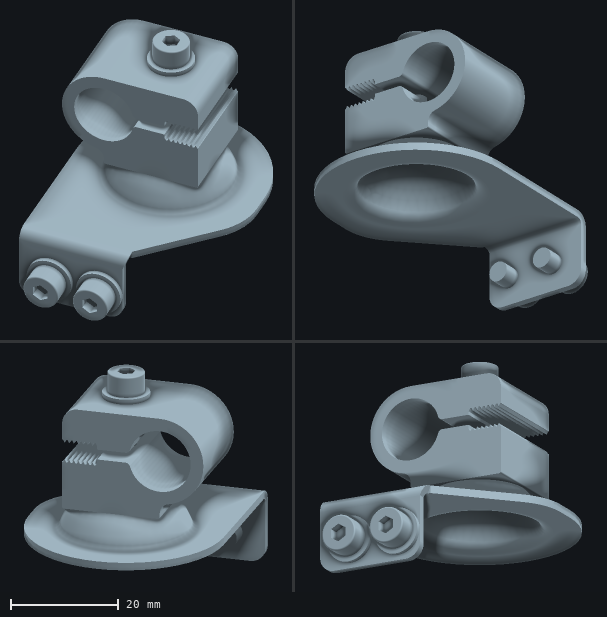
import cadquery as cq
import math


sheet = 1.5
plate_radius = 19.0
plate_corner_radius = 12.0
flange_face_y = -27.5
flange_width = 21.0
flange_drop = 14.5
flange_corner_radius = 3.0
bend_radius = 2.5
bend_flare = 0.9

flange_left = -plate_radius
flange_right = flange_left + flange_width
bend_start_y = flange_face_y + bend_radius
bend_start_right = flange_right + bend_flare

dome_radius = 13.1
dome_foot_radius = 13.7
dome_foot_fillet = 1.5

dome_to_fillet_centre = dome_radius + dome_foot_fillet
dome_centre_z = dome_foot_fillet - math.sqrt(dome_to_fillet_centre**2 - dome_foot_radius**2)

shank_radius = 2.0
head_radius = 3.5
head_height = 4.0
head_rounding = 0.3
hex_across_flats = 3.0
hex_depth = 2.0
washer_radius = 4.5
washer_thickness = 1.0
flange_screw_length = 6.0
clamp_screw_length = 16.0
flange_screw_spacing = 10.0
first_screw_inset = 6.5
first_screw_x = flange_left + first_screw_inset
flange_screw_z = -9.0
flange_screw_xs = [first_screw_x, first_screw_x + flange_screw_spacing]

clamp_width = 19.0
clamp_height = 20.0
clamp_bottom = 5.95
barrel_radius = 8.5
bore_radius = 6.0
neck_fillet = 2.0
clamp_top_fillet = 3.0
clamp_bottom_fillet = 0.3
slit_half_gap = 1.0
slit_mouth_fillet = 0.9

clamp_top = clamp_bottom + clamp_height
clamp_half = clamp_width / 2
bore_x = -clamp_half
bore_z = clamp_top - barrel_radius

jaw_length = 6.8
tooth_tip_half_gap = 1.65
tooth_root_half_gap = 2.2
tooth_root_flat = 0.3
full_grooves = 7
tooth_pitch = jaw_length / (full_grooves + 0.5)


def make_plate():
    """Flat plate: round end, one straight side and one 45 degree side down to the bend."""
    corner_y = bend_start_y + plate_radius - bend_start_right
    plate = (
        cq.Workplane("XY")
        .moveTo(-plate_radius, bend_start_y)
        .lineTo(bend_start_right, bend_start_y)
        .lineTo(plate_radius, corner_y)
        .lineTo(plate_radius, 0)
        .threePointArc((0, plate_radius), (-plate_radius, 0))
        .close()
        .extrude(-sheet)
    )
    corner = cq.selectors.NearestToPointSelector((plate_radius, corner_y, -sheet / 2))
    return plate.edges(corner).fillet(plate_corner_radius)


def make_flange():
    """Quarter bend and hanging flange, with the edge of the bend tapering to the flange width."""
    inner_radius = bend_radius - sheet
    arc_share = math.sqrt(0.5)
    strip = (
        cq.Workplane("YZ", origin=(flange_left, 0, 0))
        .moveTo(bend_start_y, 0)
        .threePointArc(
            (bend_start_y - bend_radius * arc_share, -bend_radius + bend_radius * arc_share),
            (flange_face_y, -bend_radius),
        )
        .lineTo(flange_face_y, -flange_drop)
        .lineTo(flange_face_y + sheet, -flange_drop)
        .lineTo(flange_face_y + sheet, -bend_radius)
        .threePointArc(
            (bend_start_y - inner_radius * arc_share, -bend_radius + inner_radius * arc_share),
            (bend_start_y, -sheet),
        )
        .close()
        .extrude(flange_width + bend_flare)
    )
    outline = (
        cq.Workplane("XZ", origin=(0, bend_start_y, 0))
        .moveTo(flange_left, 0)
        .lineTo(bend_start_right, 0)
        .lineTo(flange_right, -bend_radius)
        .lineTo(flange_right, -flange_drop)
        .lineTo(flange_left, -flange_drop)
        .close()
        .extrude(bend_radius)
        .faces("<Z")
        .edges("|Y")
        .fillet(flange_corner_radius)
    )
    return strip.intersect(outline)


def make_dome():
    """Pressed spherical dome of sheet thickness, flared by a fillet into the plate."""
    fillet_centre_z = dome_foot_fillet
    to_fillet = math.atan2(dome_foot_radius, fillet_centre_z - dome_centre_z)
    inner_radius = dome_radius - sheet
    inner_fillet = dome_foot_fillet + sheet

    def on_sphere(radius, angle):
        return radius * math.sin(angle), dome_centre_z + radius * math.cos(angle)

    def on_fillet(radius, angle):
        return dome_foot_radius - radius * math.sin(angle), fillet_centre_z - radius * math.cos(angle)

    half_angle = to_fillet / 2
    return (
        cq.Workplane("XZ")
        .moveTo(*on_sphere(dome_radius, 0))
        .threePointArc(on_sphere(dome_radius, half_angle), on_sphere(dome_radius, to_fillet))
        .threePointArc(on_fillet(dome_foot_fillet, half_angle), on_fillet(dome_foot_fillet, 0))
        .lineTo(*on_fillet(inner_fillet, 0))
        .threePointArc(on_fillet(inner_fillet, half_angle), on_sphere(inner_radius, to_fillet))
        .threePointArc(on_sphere(inner_radius, half_angle), on_sphere(inner_radius, 0))
        .close()
        .revolve(360, (0, 0, 0), (0, 1, 0))
    )


def make_bracket():
    dome_opening = cq.Workplane("XY").circle(dome_foot_radius).extrude(-sheet)
    bracket = make_plate().cut(dome_opening).union(make_dome()).union(make_flange())
    screw_holes = (
        cq.Workplane("XZ", origin=(0, flange_face_y + sheet, 0))
        .pushPoints([(x, flange_screw_z) for x in flange_screw_xs])
        .circle(shank_radius)
        .extrude(sheet)
    )
    return bracket.cut(screw_holes)


def clamp_prism(outline):
    """Extrude a closed XZ outline over the width of the clamp."""
    return outline.extrude(clamp_half, both=True)


def make_clamp_body():
    """Barrel and square block, with a concave fillet where the barrel meets the block."""
    fillet_centre_x = bore_x - neck_fillet
    fillet_drop = math.sqrt((barrel_radius + neck_fillet) ** 2 - neck_fillet**2)
    fillet_centre_z = bore_z - fillet_drop
    share = barrel_radius / (barrel_radius + neck_fillet)
    barrel_end = (bore_x - neck_fillet * share, bore_z - fillet_drop * share)
    middle_angle = math.atan2(fillet_drop, neck_fillet) / 2
    fillet_middle = (
        fillet_centre_x + neck_fillet * math.cos(middle_angle),
        fillet_centre_z + neck_fillet * math.sin(middle_angle),
    )
    body = clamp_prism(
        cq.Workplane("XZ")
        .moveTo(bore_x, clamp_top)
        .threePointArc((bore_x - barrel_radius, bore_z), barrel_end)
        .threePointArc(fillet_middle, (bore_x, fillet_centre_z))
        .lineTo(bore_x, clamp_bottom)
        .lineTo(clamp_half, clamp_bottom)
        .lineTo(clamp_half, clamp_top)
        .close()
    )
    body = body.edges("|Y and >X and >Z").fillet(clamp_top_fillet)
    return body.faces("<Z").edges("|Y").fillet(clamp_bottom_fillet)


def make_bore_and_slit():
    bore = clamp_prism(cq.Workplane("XZ").center(bore_x, bore_z).circle(bore_radius))
    slit_length = clamp_half - bore_x
    slit_centre_x = (bore_x + clamp_half) / 2
    slit = clamp_prism(
        cq.Workplane("XZ").center(slit_centre_x, bore_z).rect(slit_length, 2 * slit_half_gap)
    )
    mouth_x = bore_x + math.sqrt(bore_radius**2 - slit_half_gap**2)
    opening = bore.union(slit)
    for mouth_z in (bore_z - slit_half_gap, bore_z + slit_half_gap):
        mouth_edge = cq.selectors.NearestToPointSelector((mouth_x, 0, mouth_z))
        opening = opening.edges("|Y").edges(mouth_edge).fillet(slit_mouth_fillet)
    return opening


def make_jaw_gap():
    """Widened end of the slit, with tooth grooves in its upper and lower faces."""
    jaw_start_x = clamp_half - jaw_length
    gap = clamp_prism(
        cq.Workplane("XZ")
        .center(clamp_half - jaw_length / 2, bore_z)
        .rect(jaw_length, 2 * tooth_tip_half_gap)
    )
    half_pitch = tooth_pitch / 2
    half_flat = tooth_root_flat / 2
    for groove in range(full_grooves + 1):
        groove_x = jaw_start_x + (groove + 0.5) * tooth_pitch
        gap = gap.union(
            clamp_prism(
                cq.Workplane("XZ")
                .center(groove_x, bore_z)
                .moveTo(-half_pitch, tooth_tip_half_gap)
                .lineTo(-half_flat, tooth_root_half_gap)
                .lineTo(half_flat, tooth_root_half_gap)
                .lineTo(half_pitch, tooth_tip_half_gap)
                .lineTo(half_pitch, -tooth_tip_half_gap)
                .lineTo(half_flat, -tooth_root_half_gap)
                .lineTo(-half_flat, -tooth_root_half_gap)
                .lineTo(-half_pitch, -tooth_tip_half_gap)
                .close()
            )
        )
    return gap


def make_clamp():
    """Rod clamp that sits on the dome with a matching spherical seat."""
    seat = cq.Workplane("XY", origin=(0, 0, dome_centre_z)).sphere(dome_radius)
    hole_depth = clamp_screw_length - washer_thickness
    screw_hole = cq.Workplane("XY", origin=(0, 0, clamp_top)).circle(shank_radius).extrude(-hole_depth)
    clamp = make_clamp_body().cut(make_bore_and_slit()).cut(make_jaw_gap())
    return clamp.cut(seat).cut(screw_hole)


def make_screw(length):
    """Socket-head screw along Z, with the underside of its head at Z = 0."""
    head = cq.Workplane("XY").circle(head_radius).extrude(head_height)
    head = head.faces(">Z").edges().fillet(head_rounding)
    shank = cq.Workplane("XY").circle(shank_radius).extrude(-length)
    across_corners = hex_across_flats / math.cos(math.pi / 6)
    socket = (
        cq.Workplane("XY", origin=(0, 0, head_height))
        .polygon(6, across_corners)
        .extrude(-hex_depth)
        .rotate((0, 0, 0), (0, 0, 1), 90)
    )
    return head.union(shank).cut(socket)


def make_washer():
    """Washer along Z, with its upper face at Z = 0."""
    return cq.Workplane("XY").circle(washer_radius).circle(shank_radius).extrude(-washer_thickness)


def place_on_flange(fastener, x):
    """Turn a fastener to point out of the flange and set it on the flange face."""
    turned = fastener.rotate((0, 0, 0), (1, 0, 0), 90)
    return turned.translate((x, flange_face_y - washer_thickness, flange_screw_z))


bracket = make_bracket()
clamp = make_clamp()

clamp_head_seat = (0, 0, clamp_top + washer_thickness)
screws = [make_screw(clamp_screw_length).translate(clamp_head_seat)]
washers = [make_washer().translate(clamp_head_seat)]
for screw_x in flange_screw_xs:
    screws.append(place_on_flange(make_screw(flange_screw_length), screw_x))
    washers.append(place_on_flange(make_washer(), screw_x))

bodies = [bracket, clamp, *screws, *washers]
result = cq.Compound.makeCompound([body.solids().val() for body in bodies])